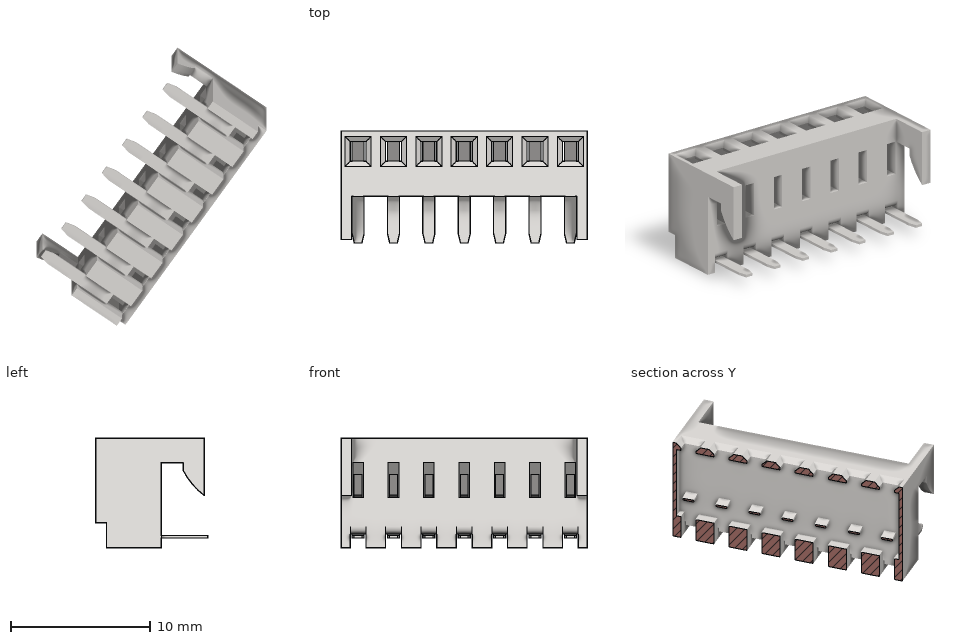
import cadquery as cq
import math


contact_count = 7
pitch = 2.54
end_margin = 1.22
length = (contact_count - 1) * pitch + 2 * end_margin
contact_xs = [(i - (contact_count - 1) / 2) * pitch for i in range(contact_count)]

height = 7.87
body_depth = 4.71
step_depth = 0.76
step_height = 1.78

arm_thickness = 0.76
arm_reach = 7.80
arm_underside_z = height - 1.78
hook_back_y = -6.28
hook_curve_top_z = height - 2.33
hook_tip_z = height - 4.13
hook_bulge = 0.13

pocket_width = 1.12
pocket_depth = 1.40
pocket_back_y = -0.78
pocket_bevel = 0.38
pocket_front_y = pocket_back_y - pocket_depth

lip_thickness = 0.20
cavity_end_wall = 0.32
cavity_top_z = height - pocket_bevel - lip_thickness
cavity_floor_z = step_height

slot_height = 0.98
slot_lip_radius = 0.50

sheet = 0.20
contact_width = 0.88
tail_tip_y = -8.05
tail_tip_width = 0.56
tail_taper = 0.68
tail_bottom_z = 0.69
plate_front_y = pocket_front_y - sheet
leaf_root_z = 3.50
leaf_drop = 0.26
leaf_end_z = leaf_root_z - leaf_drop
leaf_lip = 0.12

window_width = 0.76
window_top_z = height - 1.76
window_bottom_z = height - 4.28
tang_width = 0.56
tang_top_z = height - 2.61
tang_tip_z = height - 4.07
tang_reach = 0.60


def box(x, width, y_back, y_front, z_low, z_high):
    """Block centred on x, spanning the given Y and Z limits."""
    depth = y_back - y_front
    block = cq.Workplane("XY").box(width, depth, z_high - z_low, centered=(True, False, False))
    return block.translate((x, y_front, z_low))


def extrude_along_x(profile, x, width):
    """Extrude a closed YZ outline by width, centred on x."""
    return profile.extrude(width / 2, both=True).translate((x, 0, 0))


def make_body():
    profile = (
        cq.Workplane("YZ")
        .moveTo(0, height)
        .lineTo(0, step_height)
        .lineTo(-step_depth, step_height)
        .lineTo(-step_depth, 0)
        .lineTo(-body_depth, 0)
        .lineTo(-body_depth, height)
        .close()
    )
    return extrude_along_x(profile, 0, length)


def make_latch_arm(x):
    """Forward arm ending in a hook whose back edge bulges towards the body."""
    chord_y = -arm_reach - hook_back_y
    chord_z = hook_tip_z - hook_curve_top_z
    chord = math.hypot(chord_y, chord_z)
    bulge_y = (hook_back_y - arm_reach) / 2 - hook_bulge * chord_z / chord
    bulge_z = (hook_curve_top_z + hook_tip_z) / 2 + hook_bulge * chord_y / chord
    profile = (
        cq.Workplane("YZ")
        .moveTo(-body_depth + step_depth, height)
        .lineTo(-arm_reach, height)
        .lineTo(-arm_reach, hook_tip_z)
        .threePointArc((bulge_y, bulge_z), (hook_back_y, hook_curve_top_z))
        .lineTo(hook_back_y, arm_underside_z)
        .lineTo(-body_depth + step_depth, arm_underside_z)
        .close()
    )
    return extrude_along_x(profile, x, arm_thickness)


def make_pocket(x):
    """Straight through pocket with a 45 degree lead-in at the top."""
    shaft = box(x, pocket_width, pocket_back_y, pocket_front_y, 0, height)
    lead_in = (
        cq.Workplane("XY")
        .workplane(offset=height)
        .center(x, (pocket_back_y + pocket_front_y) / 2)
        .rect(pocket_width + 2 * pocket_bevel, pocket_depth + 2 * pocket_bevel)
        .workplane(offset=-pocket_bevel)
        .rect(pocket_width, pocket_depth)
        .loft(combine=True)
    )
    return shaft.union(lead_in)


def make_cavity():
    """Space along the whole row under the pocket lips."""
    cavity_length = length - 2 * cavity_end_wall
    return box(0, cavity_length, pocket_back_y, pocket_front_y, cavity_floor_z, cavity_top_z)


def make_tail_slot(x):
    """Bottom slot through the full depth, its ceiling rounded into the front face."""
    lip_offset = slot_lip_radius * math.sqrt(0.5)
    round_centre_y = -body_depth + slot_lip_radius
    round_centre_z = slot_height + slot_lip_radius
    profile = (
        cq.Workplane("YZ")
        .moveTo(0, 0)
        .lineTo(0, slot_height)
        .lineTo(round_centre_y, slot_height)
        .threePointArc(
            (round_centre_y - lip_offset, round_centre_z - lip_offset),
            (-body_depth, round_centre_z),
        )
        .lineTo(-body_depth, 0)
        .close()
    )
    return extrude_along_x(profile, x, pocket_width)


def make_window(x):
    """Opening through the front wall up to the contact plate."""
    return box(x, window_width, plate_front_y, -body_depth, window_bottom_z, window_top_z)


def make_tail(x):
    """Flat solder tail with a tapered tip."""
    taper_start_y = tail_tip_y + tail_taper
    return (
        cq.Workplane("XY")
        .workplane(offset=tail_bottom_z)
        .moveTo(x - contact_width / 2, pocket_front_y)
        .lineTo(x - contact_width / 2, taper_start_y)
        .lineTo(x - tail_tip_width / 2, tail_tip_y)
        .lineTo(x + tail_tip_width / 2, tail_tip_y)
        .lineTo(x + contact_width / 2, taper_start_y)
        .lineTo(x + contact_width / 2, pocket_front_y)
        .close()
        .extrude(sheet)
    )


def make_leaf(x):
    """Spring leaf falling from the plate to a flat lip on the back wall of the pocket."""
    profile = (
        cq.Workplane("YZ")
        .moveTo(plate_front_y, leaf_root_z)
        .lineTo(pocket_front_y, leaf_root_z)
        .lineTo(pocket_back_y - leaf_lip, leaf_end_z)
        .lineTo(pocket_back_y, leaf_end_z)
        .lineTo(pocket_back_y, leaf_end_z - sheet)
        .lineTo(pocket_front_y, leaf_root_z - sheet)
        .lineTo(plate_front_y, leaf_root_z - sheet)
        .close()
    )
    return extrude_along_x(profile, x, contact_width)


def make_tang(x):
    """Locking tang sloping forward and down from the plate."""
    profile = (
        cq.Workplane("YZ")
        .moveTo(pocket_front_y, tang_top_z)
        .lineTo(plate_front_y, tang_top_z)
        .lineTo(plate_front_y - tang_reach, tang_tip_z)
        .lineTo(plate_front_y, window_bottom_z)
        .lineTo(pocket_front_y, window_bottom_z)
        .close()
    )
    return extrude_along_x(profile, x, tang_width)


def make_contact(x):
    plate = box(x, contact_width, pocket_front_y, plate_front_y, tail_bottom_z, window_top_z)
    return plate.union(make_tail(x)).union(make_leaf(x)).union(make_tang(x))


result = make_body()
for side in (-1, 1):
    result = result.union(make_latch_arm(side * (length - arm_thickness) / 2))
result = result.cut(make_cavity())
for contact_x in contact_xs:
    result = result.cut(make_pocket(contact_x))
    result = result.cut(make_tail_slot(contact_x))
    result = result.cut(make_window(contact_x))
    result = result.union(make_contact(contact_x))